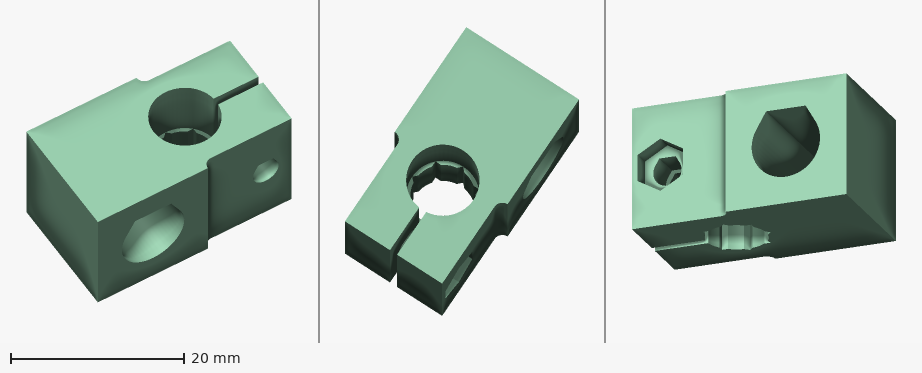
import cadquery as cq
import math

width = 15.6
length = 27.0
height = 15.0

arm_inset = 1.08
cove_center_y = 16.05
slot_width = 0.97

bore_diameter = 8.48
grip_diameter = 7.5
bore_y = 16.69
grip_height = height / 2

rod_hole_y = 7.5
rod_hole_diameter = bore_diameter
bolt_y = length - 3.5
bolt_diameter = 3.5
nut_across_flats = 5.62
nut_depth = 2.25


def make_body():
    """Block with both arm sides cut back, ending in concave quarter rounds."""
    body = cq.Workplane("XY").box(width, length, height, centered=(True, False, False))
    for side in (-1, 1):
        relief = (
            cq.Workplane("XY")
            .center(side * width / 2, (cove_center_y + length) / 2)
            .rect(2 * arm_inset, length - cove_center_y)
            .extrude(height)
        )
        cove = (
            cq.Workplane("XY")
            .center(side * width / 2, cove_center_y)
            .circle(arm_inset)
            .extrude(height)
        )
        body = body.cut(relief).cut(cove)
    return body


def make_bore():
    """Smooth upper bore over a smaller bore notched by two crossed squares."""
    base = cq.Workplane("XY").center(0, bore_y)
    bore = base.circle(grip_diameter / 2).extrude(grip_height)
    square_side = bore_diameter / math.sqrt(2)
    for angle in (0, 45):
        notches = base.rect(square_side, square_side).extrude(grip_height)
        bore = bore.union(notches.rotate((0, bore_y, 0), (0, bore_y, 1), angle))
    upper = (
        base.workplane(offset=grip_height)
        .circle(bore_diameter / 2)
        .extrude(height - grip_height)
    )
    return bore.union(upper)


def make_slot():
    """Gap between the arms, running from the bore to the open end."""
    return (
        cq.Workplane("XY")
        .center(0, (bore_y + length) / 2)
        .rect(slot_width, length - bore_y)
        .extrude(height)
    )


def side_plane(y):
    """Plane on the -X face at mid height, with local x along +Y and normal +X."""
    return cq.Workplane("YZ", origin=(-width / 2, y, height / 2))


def make_teardrop_hole(y, diameter):
    """Through hole whose roof rises at 60 degrees to a flat at the circle's top."""
    radius = diameter / 2
    tangent_angle = math.radians(30)
    tangent_x = radius * math.cos(tangent_angle)
    tangent_z = radius * math.sin(tangent_angle)
    flat_half_width = radius * math.tan(tangent_angle)
    return (
        side_plane(y)
        .moveTo(tangent_x, tangent_z)
        .lineTo(flat_half_width, radius)
        .lineTo(-flat_half_width, radius)
        .lineTo(-tangent_x, tangent_z)
        .threePointArc((0, -radius), (tangent_x, tangent_z))
        .close()
        .extrude(width)
    )


def make_nut_pocket():
    """Hexagonal pocket sunk into the -X arm, with corners up and down."""
    corner_diameter = nut_across_flats / math.cos(math.radians(30))
    return (
        side_plane(bolt_y)
        .transformed(rotate=(0, 0, 90))
        .polygon(6, corner_diameter)
        .extrude(arm_inset + nut_depth)
    )


result = (
    make_body()
    .cut(make_bore())
    .cut(make_slot())
    .cut(make_teardrop_hole(rod_hole_y, rod_hole_diameter))
    .cut(make_teardrop_hole(bolt_y, bolt_diameter))
    .cut(make_nut_pocket())
)